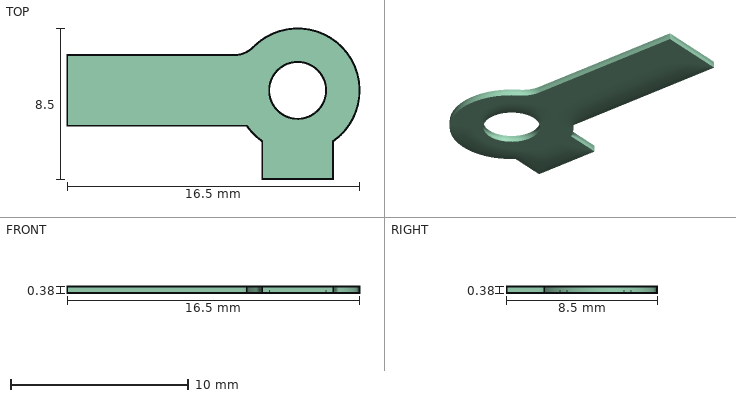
import cadquery as cq

thickness = 0.38
ring_radius = 3.5
hole_diameter = 3.2
arm_reach = 13.0
tab_reach = 5.0
strip_width = 4.0
corner_radius = 1.5


def make_blank():
    """Ring disc joined to the arm and the tab."""
    disc = cq.Workplane("XY").circle(ring_radius).extrude(thickness)
    arm = cq.Workplane("XY").box(arm_reach, strip_width, thickness, centered=(False, True, False))
    arm = arm.translate((-arm_reach, 0, 0))
    tab = cq.Workplane("XY").box(strip_width, tab_reach, thickness, centered=(True, False, False))
    tab = tab.translate((0, -tab_reach, 0))
    return disc.union(arm).union(tab)


def blend_arm_corner(blank):
    """Round the inside corner where the +Y edge of the arm meets the ring."""
    half_width = strip_width / 2
    corner_x = -(ring_radius**2 - half_width**2) ** 0.5
    corner = cq.selectors.NearestToPointSelector((corner_x, half_width, thickness / 2))
    return blank.edges("|Z").edges(corner).fillet(corner_radius)


def cut_hole(plate):
    """Bore the central hole through the ring."""
    return plate.faces(">Z").workplane(origin=(0, 0, thickness)).hole(hole_diameter)


result = cut_hole(blend_arm_corner(make_blank()))